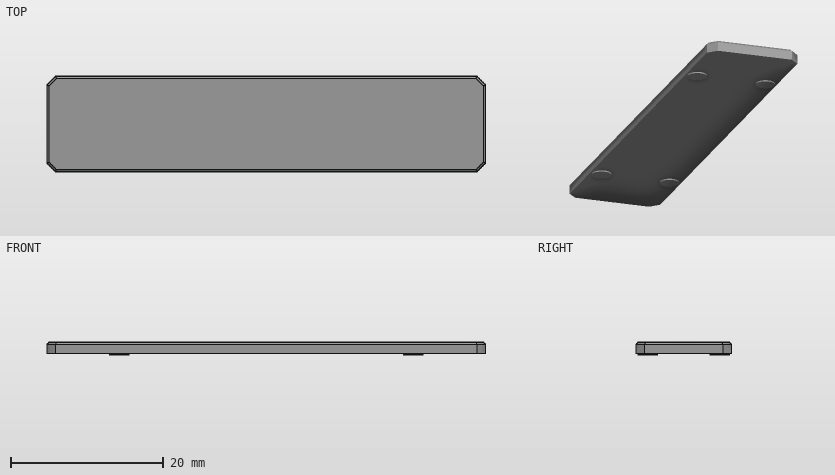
import cadquery as cq

plate_length = 57.65
plate_width = 12.55
total_height = 1.7
corner_cut = 1.15
top_chamfer = 0.3

foot_diameter = 2.6
foot_height = 0.2
foot_offset_x = 19.3
foot_offset_y = 4.7

plate_thickness = total_height - foot_height


def make_plate():
    """Flat plate with cut corners and a bevelled top rim."""
    return (
        cq.Workplane("XY", origin=(0, 0, foot_height))
        .rect(plate_length, plate_width)
        .extrude(plate_thickness)
        .edges("|Z")
        .chamfer(corner_cut)
        .faces(">Z")
        .edges()
        .chamfer(top_chamfer)
    )


def make_foot(x, y):
    """Round foot that touches the underside of the plate."""
    return (
        cq.Workplane("XY", origin=(x, y, 0))
        .circle(foot_diameter / 2)
        .extrude(foot_height)
    )


plate = make_plate()

feet = []
for x in (-foot_offset_x, foot_offset_x):
    for y in (-foot_offset_y, foot_offset_y):
        feet.append(make_foot(x, y).val())

result = cq.Compound.makeCompound([plate.val(), *feet])